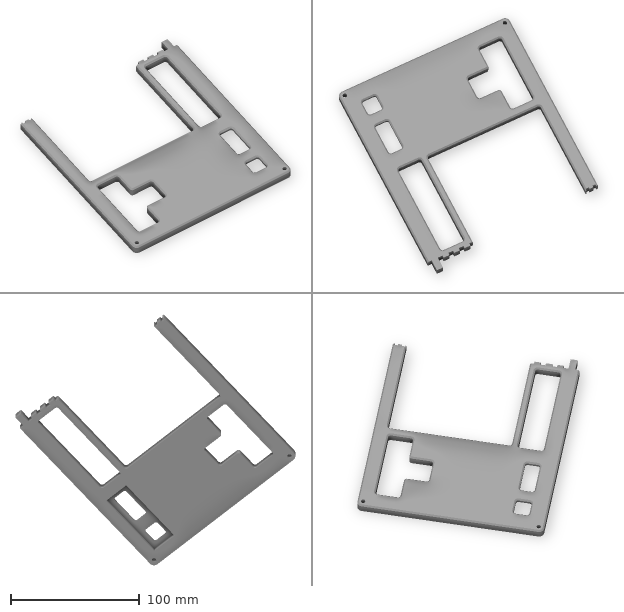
import cadquery as cq

total_length = 168.4
width = 147.5
thickness = 7.0
x_min, x_max = -total_length / 2, total_length / 2
y_min, y_max = -width / 2, width / 2
z_bottom = -thickness / 2

edge_chamfer = 1.2
outer_corner_radius = 4.0
inner_corner_radius = 2.0

tongue_length = 9.3
arm_end_x = x_min + tongue_length
bay_end_x = 5.7
upper_arm_width = 39.0
lower_arm_width = 10.6
bay_y_min = y_min + lower_arm_width
bay_y_max = y_max - upper_arm_width

window_top = 60.0
long_window = (-70.7, 6.4, 39.7, window_top)
middle_window = (20.4, 46.8, 48.1, window_top)
square_window = (56.9, 69.9, 47.5, window_top)

pocket_depth = 4.0
pocket_margin = 4.0

tee_base = (12.5, 70.5, -61.5, -41.8)
tee_stem_x_min, tee_stem_x_max = 31.6, 51.5
tee_stem_top = -22.5

tongue_width = 5.4
tongue_inset = 3.4
tooth_count = 3
tooth_width = 5.0
tooth_gap = 4.0
tooth_length = 2.0

notch_width = 2.5
notch_depth = 1.3
notch_edge_inset = 1.5
notch_spacing = 5.9

hole_diameter = 3.4
hole_inset = 4.4


def block(x0, x1, y0, y1):
    """Full-thickness rectangular block between the given limits."""
    return (
        cq.Workplane("XY", origin=((x0 + x1) / 2, (y0 + y1) / 2, z_bottom))
        .rect(x1 - x0, y1 - y0)
        .extrude(thickness)
    )


def rounded(solid):
    """Round the vertical edges of a cutting body."""
    return solid.edges("|Z").fillet(inner_corner_radius)


def frame():
    """C-shaped plate with its windows, chamfered along the top edges."""
    plate = block(arm_end_x, x_max, y_min, y_max)
    plate = plate.edges("|Z and >X").fillet(outer_corner_radius)

    bay = block(arm_end_x, bay_end_x, bay_y_min, bay_y_max)
    plate = plate.cut(bay.edges("|Z and >X").fillet(inner_corner_radius))

    for window in (long_window, middle_window, square_window):
        plate = plate.cut(rounded(block(*window)))

    tee_base_y_min = tee_base[2]
    stem = block(tee_stem_x_min, tee_stem_x_max, tee_base_y_min, tee_stem_top)
    plate = plate.cut(rounded(block(*tee_base).union(stem).clean()))

    return plate.faces(">Z").edges("not(<X)").chamfer(edge_chamfer)


def upper_arm_joint():
    """Long tongue followed by a row of short teeth."""
    tongue_y_max = y_max - tongue_inset
    tongue_y_min = tongue_y_max - tongue_width
    root_x = arm_end_x + tooth_length
    joint = block(x_min, root_x, tongue_y_min, tongue_y_max)
    for i in range(tooth_count):
        tooth_y_max = tongue_y_min - tooth_gap - i * (tooth_width + tooth_gap)
        tooth = block(arm_end_x - tooth_length, root_x, tooth_y_max - tooth_width, tooth_y_max)
        joint = joint.union(tooth)
    return joint


def lower_arm_notches():
    """Pair of notches that leave a tab between them."""
    outer_notch_y = y_min + notch_edge_inset
    inner_notch_y = outer_notch_y + notch_spacing
    notches = cq.Workplane("XY")
    for y in (outer_notch_y, inner_notch_y):
        notches = notches.add(block(arm_end_x, arm_end_x + notch_depth, y, y + notch_width))
    return notches.combine()


def underside_pocket():
    """Shallow pocket below the middle and square windows."""
    pocket = block(
        middle_window[0] - pocket_margin,
        square_window[1] + pocket_margin,
        square_window[2] - pocket_margin,
        window_top + pocket_margin,
    )
    return pocket.translate((0, 0, pocket_depth - thickness))


def corner_holes():
    """Through holes at the two rounded corners."""
    hole_x = x_max - hole_inset
    hole_y = y_max - hole_inset
    return (
        cq.Workplane("XY", origin=(0, 0, z_bottom))
        .pushPoints([(hole_x, hole_y), (hole_x, -hole_y)])
        .circle(hole_diameter / 2)
        .extrude(thickness)
    )


result = (
    frame()
    .union(upper_arm_joint())
    .cut(lower_arm_notches())
    .cut(underside_pocket())
    .cut(corner_holes())
)